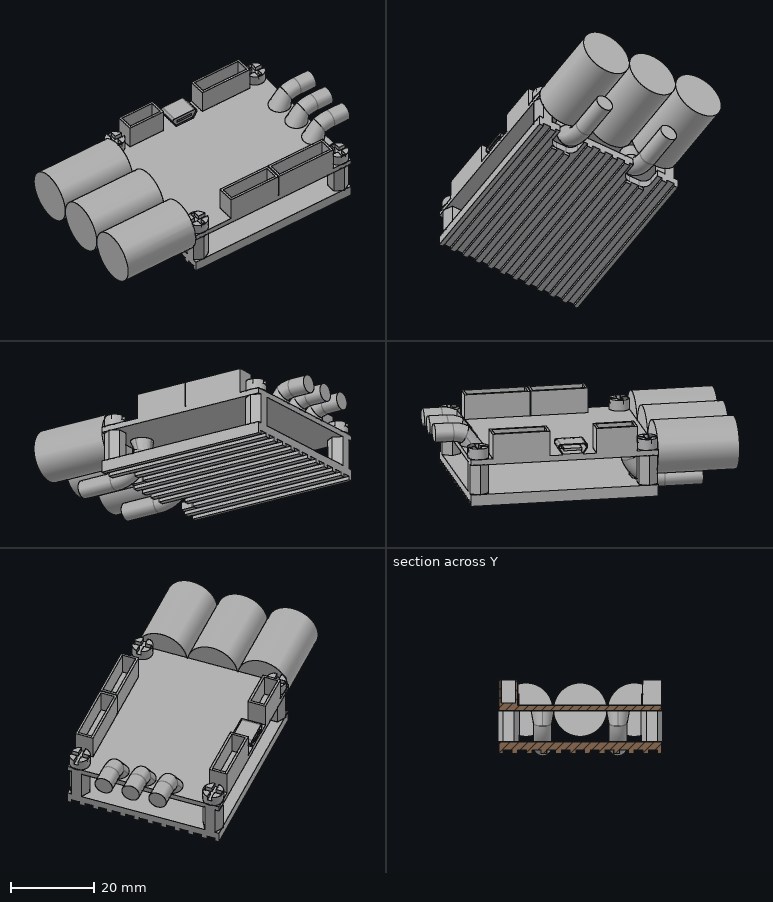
import cadquery as cq
import math


board_width = 39.2
board_length = 46.0
board_thickness = 1.4
board_bottom = 10.3
board_top = board_bottom + board_thickness
sink_top = 2.9
fin_height = 0.9
groove_count = 11
groove_width = 2.0
edge_fin_width = 1.1

recess_outer_x = 13.75
recess_inner_x = 6.95
recess_depth = 5.1
recess_corner_radius = 2.0

screw_x = 17.25
standoff_flats = 4.5
screw_inset = standoff_flats / 2
head_diameter = 5.1
head_height = 2.7
cross_slot_width = 1.1
cross_slot_length = 4.35
cross_slot_depth = 1.1

capacitor_diameter = 13.0
capacitor_length = 20.0
capacitor_pitch = 13.05
capacitor_z = 10.6

wire_diameter = 4.5
wire_foot_diameter = 5.6
phase_centre_x = 0.7
phase_pitch = 6.95
phase_z = 15.0
phase_overhang = 6.45
phase_straight = 4.5
phase_bend_radius = 7.0
phase_bend_angle = 25.0
phase_foot_inset = 2.8
power_x = 9.05
power_z = 1.7
power_overhang = 12.75
power_straight = 9.4
power_bend_radius = 8.7
power_bend_angle = 70.0
power_foot_inset = 4.4

header_width = 4.55
header_height = 6.15
header_wall = 0.6
header_start = 5.35
header_gap = 0.15
pin_pitch = 2.0
header_end_margin = 3.9
small_pin_count = 3
medium_pin_count = 5
large_pin_count = 6
small_header_start = 30.85

usb_inset = 25.05
usb_depth = 5.2
usb_width = 7.1
usb_foot_width = 5.1
usb_height = 2.7
usb_shoulder = 1.6
usb_corner_radius = 0.6
usb_wall = 0.2
tongue_width = 4.35
tongue_thickness = 0.6
tongue_bottom = 1.0

corners = [
    (x, y)
    for x in (-screw_x, screw_x)
    for y in (screw_inset, board_length - screw_inset)
]


def block(x_min, y_min, z_min, x_size, y_size, z_size):
    """Box given by its lowest corner and its sizes."""
    return cq.Workplane("XY").box(x_size, y_size, z_size, centered=False).translate((x_min, y_min, z_min))


def wire_recess(side):
    """Recess in the capacitor edge, round-cornered in the plate and square in the fins."""
    width = recess_outer_x - recess_inner_x
    centre_x = side * (recess_outer_x + recess_inner_x) / 2
    plate_cut = block(centre_x - width / 2, 0, fin_height, width, recess_depth, sink_top - fin_height)
    plate_cut = plate_cut.edges("|Z and >Y").fillet(recess_corner_radius)
    fin_cut = block(centre_x - width / 2, 0, 0, width, recess_depth, fin_height)
    return plate_cut.union(fin_cut)


def make_heatsink():
    sink = block(-board_width / 2, 0, 0, board_width, board_length, sink_top)
    groove_span = board_width - 2 * edge_fin_width
    groove_pitch = (groove_span - groove_width) / (groove_count - 1)
    for i in range(groove_count):
        groove_x = -groove_span / 2 + i * groove_pitch
        sink = sink.cut(block(groove_x, 0, 0, groove_width, board_length, fin_height))
    for side in (-1, 1):
        sink = sink.cut(wire_recess(side))
    return sink


def make_standoffs():
    across_corners = standoff_flats / math.cos(math.pi / 6)
    standoffs = cq.Workplane("XY").workplane(offset=sink_top).pushPoints(corners)
    return standoffs.polygon(6, across_corners).extrude(board_bottom - sink_top)


def make_screw_heads():
    """Screw heads with a cross recess whose Y arm runs right across the head."""
    heads = cq.Workplane("XY").workplane(offset=board_top).pushPoints(corners)
    heads = heads.circle(head_diameter / 2).extrude(head_height)
    slots = cq.Workplane("XY").workplane(offset=board_top + head_height).pushPoints(corners)
    x_arms = slots.rect(cross_slot_length, cross_slot_width).extrude(-cross_slot_depth)
    y_arms = slots.rect(cross_slot_width, head_diameter).extrude(-cross_slot_depth)
    return heads.cut(x_arms).cut(y_arms)


def make_capacitors():
    centres = [(i * capacitor_pitch, capacitor_z) for i in (-1, 0, 1)]
    return cq.Workplane("XZ").pushPoints(centres).circle(capacitor_diameter / 2).extrude(capacitor_length)


def make_wire(x, tip, straight, bend_radius, bend_angle, foot, inward, rise):
    """Wire with a straight end, a bend and a flared foot on the board.

    tip and foot are (y, z) points on the axis. The wire runs from the tip along
    inward * Y and bends up (rise = 1) or down (rise = -1) towards the foot.
    """
    angle = math.radians(bend_angle)
    radius = wire_diameter / 2

    def bend_point(turn):
        y = tip[0] + inward * (straight + bend_radius * math.sin(turn))
        z = tip[1] + rise * bend_radius * (1 - math.cos(turn))
        return (y, z)

    bend_end = bend_point(angle)
    axis = cq.Workplane("YZ", origin=(x, 0, 0)).moveTo(*tip)
    axis = axis.lineTo(*bend_point(0)).threePointArc(bend_point(angle / 2), bend_end)
    tube = cq.Workplane("XZ", origin=(x, *tip)).circle(radius).sweep(axis)

    bend_direction = cq.Vector(0, inward * math.cos(angle), rise * math.sin(angle))
    bend_circle = cq.Wire.makeCircle(radius, cq.Vector(x, *bend_end), bend_direction)
    foot_circle = cq.Wire.makeCircle(wire_foot_diameter / 2, cq.Vector(x, *foot), cq.Vector(0, 0, rise))
    flare = cq.Solid.makeLoft([bend_circle, foot_circle], True)
    return tube.union(cq.Workplane(flare))


def make_phase_wire(x):
    return make_wire(
        x,
        (board_length + phase_overhang, phase_z),
        phase_straight,
        phase_bend_radius,
        phase_bend_angle,
        (board_length - phase_foot_inset, board_top),
        -1,
        -1,
    )


def make_power_wire(x):
    return make_wire(
        x,
        (-power_overhang, power_z),
        power_straight,
        power_bend_radius,
        power_bend_angle,
        (power_foot_inset, board_bottom),
        1,
        1,
    )


def header_length(pin_count):
    return header_end_margin + pin_count * pin_pitch


def make_header(side, start, pin_count):
    """Open-topped header along one long edge; start is measured from the rear edge."""
    length = header_length(pin_count)
    centre_x = side * (board_width - header_width) / 2
    centre_y = board_length - start - length / 2
    shell = cq.Workplane("XY").box(header_width, length, header_height, centered=(True, True, False))
    shell = shell.faces(">Z").shell(-header_wall)
    return shell.translate((centre_x, centre_y, board_top))


def make_headers():
    right_second_start = header_start + header_length(large_pin_count) + header_gap
    headers = make_header(-1, header_start, medium_pin_count)
    headers = headers.union(make_header(-1, small_header_start, small_pin_count))
    headers = headers.union(make_header(1, header_start, large_pin_count))
    return headers.union(make_header(1, right_second_start, medium_pin_count))


def make_usb_socket():
    """Shell with a tapered lower half, open towards -X, with a contact tongue inside."""
    origin = (-board_width / 2, board_length - usb_inset, board_top)
    mouth = cq.Workplane("YZ", origin=origin)
    shell = mouth.polyline([
        (-usb_foot_width / 2, 0),
        (usb_foot_width / 2, 0),
        (usb_width / 2, usb_shoulder),
        (usb_width / 2, usb_height),
        (-usb_width / 2, usb_height),
        (-usb_width / 2, usb_shoulder),
    ]).close().extrude(usb_depth)
    shell = shell.edges("|X and >Z").fillet(usb_corner_radius)
    shell = shell.faces("<X").shell(-usb_wall)
    tongue_z = tongue_bottom + tongue_thickness / 2
    tongue = mouth.center(0, tongue_z).rect(tongue_width, tongue_thickness).extrude(usb_depth)
    return shell.union(tongue)


result = block(-board_width / 2, 0, board_bottom, board_width, board_length, board_thickness)
result = result.union(make_heatsink())
result = result.union(make_standoffs())
result = result.union(make_screw_heads())
result = result.union(make_capacitors())
for i in (-1, 0, 1):
    result = result.union(make_phase_wire(phase_centre_x + i * phase_pitch))
for side in (-1, 1):
    result = result.union(make_power_wire(side * power_x))
result = result.union(make_headers())
result = result.union(make_usb_socket())